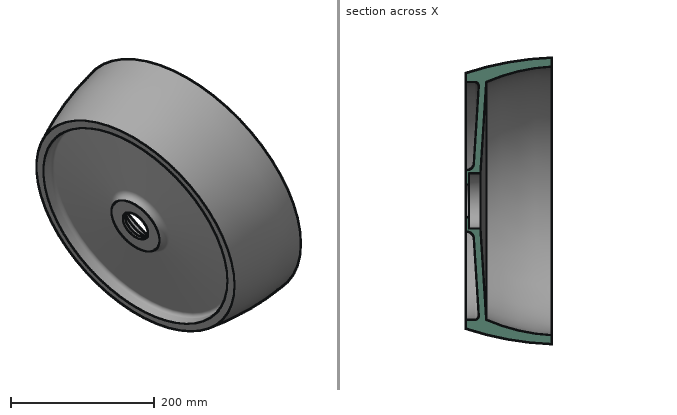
import cadquery as cq
import math

height = 120.0
base_y = -height / 2
rim_y = height / 2

rim_radius = 200.0
middle_radius = 193.5
base_radius = 178.5
wall = 13.0

foot_inner_radius = base_radius - wall
floor_radius = 159.5
foot_fillet = 5.0
recess_depth = 18.0

boss_radius = 43.0
boss_fillet = 9.5
boss_foot_radius = boss_radius + boss_fillet
boss_height = 11.0
hole_diameter = 45.0
hole_radius = hole_diameter / 2
seat_thickness = 5.0
seat_radius = boss_radius - seat_thickness
floor_thickness = 10.5

floor_slope = (recess_depth - boss_height) / (floor_radius - boss_foot_radius)
ARC_FAR = math.sqrt(0.5)
ARC_NEAR = 1 - ARC_FAR


def underside_y(radius):
    """Height of the conical underside at a radius."""
    return base_y + boss_height + floor_slope * (radius - boss_foot_radius)


def inside_y(radius):
    """Height of the basin floor, parallel to the underside."""
    return underside_y(radius) + floor_thickness


def make_basin():
    """Turn the half section of the basin around the Y axis."""
    inner_floor_radius = base_radius - wall
    inner_floor_y = inside_y(inner_floor_radius)
    inner_middle_y = (inner_floor_y + rim_y) / 2
    foot_y = base_y + recess_depth
    boss_foot_y = base_y + boss_height
    seat_y = base_y + seat_thickness

    profile = (
        cq.Workplane("XY")
        .moveTo(hole_radius, base_y)
        .lineTo(boss_radius, base_y)
        .lineTo(boss_radius, boss_foot_y - boss_fillet)
        .threePointArc(
            (boss_radius + ARC_NEAR * boss_fillet, boss_foot_y - ARC_NEAR * boss_fillet),
            (boss_foot_radius, boss_foot_y),
        )
        .lineTo(floor_radius, foot_y)
        .threePointArc(
            (
                floor_radius + ARC_FAR * (foot_inner_radius - floor_radius),
                foot_y - ARC_NEAR * foot_fillet,
            ),
            (foot_inner_radius, foot_y - foot_fillet),
        )
        .lineTo(foot_inner_radius, base_y)
        .lineTo(base_radius, base_y)
        .threePointArc((middle_radius, 0), (rim_radius, rim_y))
        .lineTo(rim_radius - wall, rim_y)
        .threePointArc((middle_radius - wall, inner_middle_y), (inner_floor_radius, inner_floor_y))
        .lineTo(seat_radius, inside_y(seat_radius))
        .lineTo(seat_radius, seat_y)
        .lineTo(hole_radius, seat_y)
        .close()
    )
    return profile.revolve(360, (0, 0, 0), (0, 1, 0))


result = make_basin()